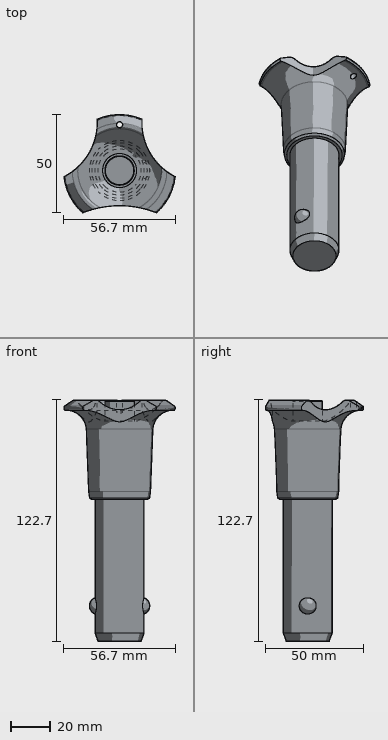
import math

import cadquery as cq


total_height = 122.7
head_height = 50.7
shoulder_z = total_height - head_height

shaft_radius = 12.5
tip_radius = 11.0
tip_chamfer_height = 4.1

ball_radius = 4.4
ball_reach = 15.4
ball_z = 18.0

grip_top_radius = 17.0
grip_top_z = total_height - 14.8
grip_bottom_radius = 15.8
grip_bottom_z = total_height - 46.6
collar_bottom_radius = 15.3
collar_chamfer_width = 1.2
collar_chamfer_height = 0.8

rim_radius = 28.53
rim_edge_radius = 28.0
rim_lower_z = total_height - 5.2
rim_upper_z = total_height - 2.95
rim_middle_z = total_height - 4.0
flare_end_radius = 27.2

crest_radius = 23.0
crest_round = 1.9
crest_cone_angle = math.radians(34)
dish_edge_radius = 21.3

dish_floor_radius = 8.65
dish_floor_z = total_height - 10.7
dish_middle_radius = 17.95
dish_middle_z = total_height - 4.9

button_radius = 7.5
button_top_z = total_height - 0.3
button_chamfer = 0.3

scallop_depth_radius = 17.95
front_scallop_radius = 51.5
side_scallop_radius = 31.0
front_scallop_angle = 270
side_scallop_angles = (30, 150)

lanyard_hole_diameter = 3.0
lanyard_hole_y = 23.3


def make_shaft():
    """Plain cylinder with a tapered tip, running up into the handle."""
    profile = (
        cq.Workplane("XZ")
        .lineTo(tip_radius, 0)
        .lineTo(shaft_radius, tip_chamfer_height)
        .lineTo(shaft_radius, grip_bottom_z)
        .lineTo(0, grip_bottom_z)
        .close()
    )
    return profile.revolve(360, (0, 0, 0), (0, 1, 0))


def make_balls():
    """Two locking balls on opposite sides of the shaft, along X."""
    ball_x = ball_reach - ball_radius
    ball_plane = cq.Workplane("XY").workplane(offset=ball_z)
    return ball_plane.pushPoints([(-ball_x, 0), (ball_x, 0)]).sphere(ball_radius)


def tangent_arc_radius(sagitta, run):
    """Radius of an arc that starts along a line and leaves it by sagitta after run."""
    return (sagitta**2 + run**2) / (2 * sagitta)


def make_handle():
    """Revolved grip that flares into a dished rim."""
    crest_center_z = total_height - crest_round
    dish_edge_z = crest_center_z + math.sqrt(crest_round**2 - (crest_radius - dish_edge_radius) ** 2)
    cone_start_radius = crest_radius + crest_round * math.sin(crest_cone_angle)
    cone_start_z = crest_center_z + crest_round * math.cos(crest_cone_angle)
    rim_bulge = rim_radius - rim_edge_radius
    rim_lower_round = tangent_arc_radius(rim_bulge, rim_middle_z - rim_lower_z)
    rim_upper_round = tangent_arc_radius(rim_bulge, rim_upper_z - rim_middle_z)
    flare_round = tangent_arc_radius(rim_lower_z - grip_top_z, flare_end_radius - grip_top_radius)

    profile = (
        cq.Workplane("XZ")
        .moveTo(0, shoulder_z)
        .lineTo(collar_bottom_radius - collar_chamfer_width, shoulder_z)
        .lineTo(collar_bottom_radius, shoulder_z + collar_chamfer_height)
        .lineTo(grip_bottom_radius, grip_bottom_z)
        .lineTo(grip_top_radius, grip_top_z)
        .radiusArc((flare_end_radius, rim_lower_z), flare_round)
        .lineTo(rim_edge_radius, rim_lower_z)
        .radiusArc((rim_radius, rim_middle_z), -rim_lower_round)
        .radiusArc((rim_edge_radius, rim_upper_z), -rim_upper_round)
        .lineTo(cone_start_radius, cone_start_z)
        .threePointArc((crest_radius, total_height), (dish_edge_radius, dish_edge_z))
        .threePointArc((dish_middle_radius, dish_middle_z), (dish_floor_radius, dish_floor_z))
        .lineTo(0, dish_floor_z)
        .close()
    )
    return profile.revolve(360, (0, 0, 0), (0, 1, 0))


def make_scallop(radius, angle):
    """Cutting cylinder whose wall comes within scallop_depth_radius of the axis."""
    center_distance = scallop_depth_radius + radius
    center_x = center_distance * math.cos(math.radians(angle))
    center_y = center_distance * math.sin(math.radians(angle))
    return (
        cq.Workplane("XY")
        .workplane(offset=grip_top_z)
        .center(center_x, center_y)
        .circle(radius)
        .extrude(total_height - grip_top_z)
    )


def make_lanyard_hole():
    return (
        cq.Workplane("XY")
        .workplane(offset=grip_top_z)
        .center(0, lanyard_hole_y)
        .circle(lanyard_hole_diameter / 2)
        .extrude(total_height - grip_top_z)
    )


def make_button():
    """Release button rising from the dish floor, with a chamfered top edge."""
    button = cq.Workplane("XY").workplane(offset=grip_bottom_z).circle(button_radius)
    return button.extrude(button_top_z - grip_bottom_z).faces(">Z").chamfer(button_chamfer)


handle = make_handle().cut(make_scallop(front_scallop_radius, front_scallop_angle))
for side_angle in side_scallop_angles:
    handle = handle.cut(make_scallop(side_scallop_radius, side_angle))
handle = handle.cut(make_lanyard_hole())

result = handle.union(make_shaft()).union(make_balls()).union(make_button())